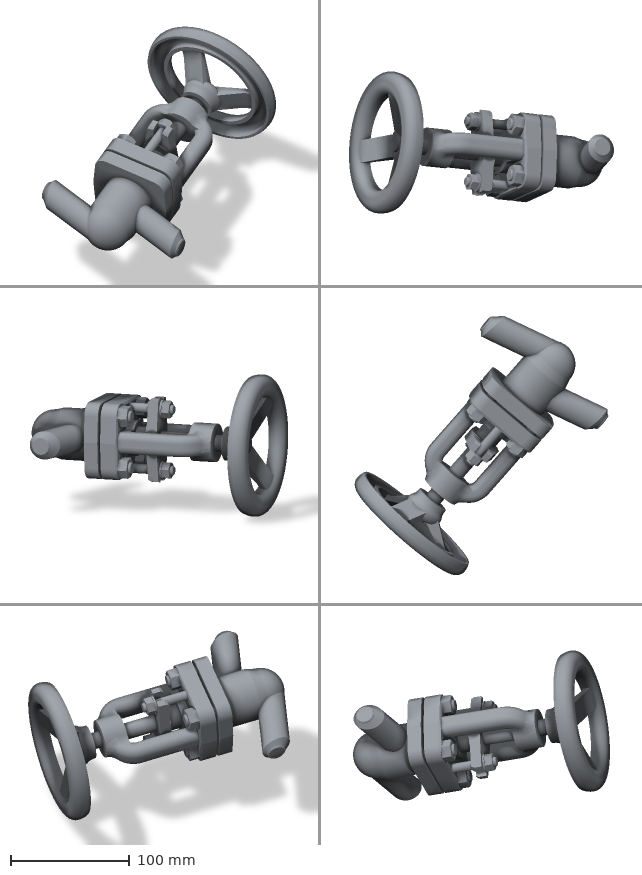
import cadquery as cq
import math


BODY_RADIUS = 22.0
DOME_RADIUS = 20.0
BODY_BOTTOM = -29.5
DOME_CENTRE = BODY_BOTTOM + DOME_RADIUS
TAPER_START = -2.0

PIPE_REACH = 65.0
PIPE_DIAMETER = 24.0
PIPE_TILT = 15.0
PIPE_LAND_RADIUS = 8.0
PIPE_LAND_LENGTH = 1.5
PIPE_EDGE_BREAK = 0.9

FLANGE_HALF_WIDTH = 35.0
FLANGE_CORNER_HALF_WIDTH = 32.5
FLANGE_HALF_HEIGHT = 32.5
FLANGE_CORNER_RADIUS = 10.8
BODY_FLANGE_BOTTOM = 28.0
BODY_FLANGE_TOP = 40.0
BONNET_FLANGE_BOTTOM = 42.5
BONNET_FLANGE_TOP = 57.4
FLANGE_CHAMFER_HEIGHT = 2.0
FLANGE_CHAMFER_WIDTH = 1.0
SPOT_FACE_RADIUS = 10.5
SPOT_FACE_DEPTH = 1.2

BOLT_SPACING = 44.0
BOLT_DIAMETER = 10.0
BOLT_PROJECTION = 2.0
FLANGE_NUT_ACROSS_FLATS = 16.0
FLANGE_NUT_HEIGHT = 8.4
FLANGE_NUTS = [(-1, 1, 3.0), (1, 1, 36.0), (-1, -1, 32.0), (1, -1, 36.0)]

NECK_RADIUS = 15.0
NECK_TOP = 64.6
NECK_FILLET = 4.5
GLAND_RADIUS = 10.1
GLAND_PLATE_BOTTOM = 76.4
GLAND_PLATE_TOP = 85.5
GLAND_PLATE_HALF_WIDTH = 15.0
GLAND_PLATE_TIP_HALF_WIDTH = 9.3
GLAND_PLATE_RADIUS = 36.0
GLAND_PLATE_CHAMFER_HEIGHT = 2.4
GLAND_PLATE_CHAMFER_WIDTH = 1.5
GLAND_PAD_RADIUS = 17.4
GLAND_PAD_HEIGHT = 0.7
GLAND_SLOT_WIDTH = 8.6

STUD_OFFSET = 26.0
STUD_DIAMETER = 8.0
STUD_PROJECTION = 2.5
GLAND_NUT_ACROSS_FLATS = 13.0
GLAND_NUT_HEIGHT = 6.7
WASHER_RADIUS = 7.8
WASHER_HEIGHT = 1.5
GLAND_NUTS = [(1, -17.0), (-1, 17.0)]

THREAD_CHAMFER = 0.6
NUT_CHAMFER_ANGLE = 30.0

ARM_OFFSET = 24.5
ARM_WIDTH = 15.0
ARM_DEPTH = 18.2
ARM_CORNER_RADIUS = 6.25
ARM_BEND_START = 108.4
ARM_BEND_RADIUS = 14.5
YOKE_HEAD_RADIUS = 16.25
YOKE_HEAD_BOTTOM = 114.2
YOKE_HEAD_TOP = 134.4
YOKE_FILLET = 11.0
TOLERANCE = 0.01

STEM_RADIUS = 7.0
HUB_BOTTOM = 143.0
HUB_COLLAR_TOP = 144.0
HUB_COLLAR_RADIUS = 14.3
HUB_SHOULDER = 151.2
HUB_TOP = 161.0
HUB_TOP_RADIUS = 10.0
HUB_DOME_RADIUS = 7.1
STEM_TOP = 163.2
WHEEL_RADIUS = 60.0
WHEEL_TOP = 179.0
RIM_BOTTOM = 164.0
RIM_ROUNDING = 7.5
RIM_LIP_RADIUS = 58.3
RIM_LIP_INNER_RADIUS = 56.0
RIM_FLOOR = 175.5
RIM_FLOOR_OUTER_RADIUS = 52.7
RIM_FLOOR_INNER_RADIUS = 47.5
RIM_INNER_LIP_RADIUS = 44.1
RIM_INNER_LIP = 166.3
RIM_BORE_RADIUS = 40.5
SPOKE_WIDTH = 19.4
SPOKE_COUNT = 3
SPOKE_SLOPE = 36.0
SPOKE_ROOT_RADIUS = 8.0
SPOKE_ROOT_TOP = 160.8
SPOKE_BEND_START = 31.0
SPOKE_BEND_LEVEL = 165.05
SPOKE_END_RADIUS = RIM_BORE_RADIUS + 1.5
SPOKE_END_TOP = 175.6


def cylinder(radius, bottom, top, x=0.0, z=0.0):
    """Cylinder along Y between two levels."""
    return cq.Workplane("XZ", origin=(x, top, z)).circle(radius).extrude(top - bottom)


def revolve_y(profile):
    """Turn a closed profile, drawn as radius and level, about the Y axis."""
    return profile.close().revolve(360, (0, 0, 0), (0, 1, 0))


def hex_nut(across_flats, bottom, height, x, z, turn):
    """Hexagon nut along Y with a chamfered upper end; turn is measured from +Z towards +X."""
    corner = across_flats / math.sqrt(3)
    points = []
    for i in range(6):
        angle = math.radians(turn + 60 * i)
        points.append((corner * math.sin(angle), corner * math.cos(angle)))
    top = bottom + height
    prism = cq.Workplane("XZ", origin=(x, top, z)).polyline(points).close().extrude(height)
    inner = across_flats / 2
    drop = (corner - inner) * math.tan(math.radians(NUT_CHAMFER_ANGLE))
    envelope = revolve_y(
        cq.Workplane("XY")
        .moveTo(0, bottom)
        .lineTo(corner, bottom)
        .lineTo(corner, top - drop)
        .lineTo(inner, top)
        .lineTo(0, top)
    ).translate((x, 0, z))
    return prism.intersect(envelope)


def threaded_end(diameter, bottom, top, x, z):
    """Stud along Y with a chamfered upper end."""
    return cylinder(diameter / 2, bottom, top, x, z).faces(">Y").chamfer(THREAD_CHAMFER)


def make_body():
    """Cylindrical housing that tapers into a half sphere."""
    return revolve_y(
        cq.Workplane("XY")
        .moveTo(0, BODY_FLANGE_BOTTOM)
        .lineTo(BODY_RADIUS, BODY_FLANGE_BOTTOM)
        .lineTo(BODY_RADIUS, TAPER_START)
        .lineTo(DOME_RADIUS, DOME_CENTRE)
        .radiusArc((0, BODY_BOTTOM), DOME_RADIUS)
    )


def make_pipe(side):
    """Tilted pipe stub whose end is turned about the X axis to a 45 degree weld bevel."""
    tilt = math.radians(PIPE_TILT)
    overrun = PIPE_DIAMETER
    length = PIPE_REACH / math.cos(tilt) + overrun
    inward = cq.Vector(-side * math.cos(tilt), side * math.sin(tilt), 0)
    start = cq.Vector(side * PIPE_REACH, 0, 0) - inward * overrun
    pipe = cq.Workplane(obj=cq.Solid.makeCylinder(PIPE_DIAMETER / 2, length, start, inward))
    land_start = PIPE_REACH - PIPE_LAND_LENGTH
    bevel_width = PIPE_DIAMETER
    bevel = (
        cq.Workplane("XY")
        .lineTo(side * PIPE_REACH, 0)
        .lineTo(side * PIPE_REACH, PIPE_LAND_RADIUS - PIPE_EDGE_BREAK)
        .lineTo(side * (PIPE_REACH - PIPE_EDGE_BREAK), PIPE_LAND_RADIUS)
        .lineTo(side * land_start, PIPE_LAND_RADIUS)
        .lineTo(side * (land_start - bevel_width), PIPE_LAND_RADIUS + bevel_width)
        .lineTo(0, PIPE_LAND_RADIUS + bevel_width)
        .close()
        .revolve(360, (0, 0, 0), (1, 0, 0))
    )
    return pipe.intersect(bevel)


def flange_plate(bottom, top):
    """Rounded plate whose two X sides rise to a shallow ridge at mid height."""
    right = [(FLANGE_CORNER_HALF_WIDTH, -FLANGE_HALF_HEIGHT), (FLANGE_HALF_WIDTH, 0),
             (FLANGE_CORNER_HALF_WIDTH, FLANGE_HALF_HEIGHT)]
    left = [(-x, -z) for x, z in right]
    plate = cq.Workplane("XZ", origin=(0, top, 0)).polyline(right + left).close()
    plate = plate.extrude(top - bottom)
    corners = plate.edges("|Y").filter(lambda edge: abs(edge.Center().z) > FLANGE_HALF_HEIGHT / 2)
    return corners.fillet(FLANGE_CORNER_RADIUS)


def make_bonnet_flange():
    """Upper flange with a bevelled upper rim and spot faces for the nuts."""
    flange = flange_plate(BONNET_FLANGE_BOTTOM, BONNET_FLANGE_TOP)
    flange = flange.faces(">Y").chamfer(FLANGE_CHAMFER_HEIGHT, FLANGE_CHAMFER_WIDTH)
    seat = BONNET_FLANGE_TOP - SPOT_FACE_DEPTH
    for x_side, z_side, _ in FLANGE_NUTS:
        x = x_side * BOLT_SPACING / 2
        z = z_side * BOLT_SPACING / 2
        flange = flange.cut(cylinder(SPOT_FACE_RADIUS, seat, BONNET_FLANGE_TOP, x, z))
    return flange


def make_flange_bolts():
    """Four studs through both flanges, each with a nut on its spot face."""
    seat = BONNET_FLANGE_TOP - SPOT_FACE_DEPTH
    bolt_top = seat + FLANGE_NUT_HEIGHT + BOLT_PROJECTION
    parts = []
    for x_side, z_side, turn in FLANGE_NUTS:
        x = x_side * BOLT_SPACING / 2
        z = z_side * BOLT_SPACING / 2
        parts.append(threaded_end(BOLT_DIAMETER, BODY_FLANGE_BOTTOM, bolt_top, x, z))
        parts.append(hex_nut(FLANGE_NUT_ACROSS_FLATS, seat, FLANGE_NUT_HEIGHT, x, z, turn))
    return parts


def make_neck():
    """Stuffing box neck joined to both yoke arms by filleted webs."""
    height = NECK_TOP - BONNET_FLANGE_BOTTOM
    web = cq.Workplane("XZ", origin=(0, NECK_TOP, 0)).rect(2 * ARM_OFFSET, ARM_DEPTH).extrude(height)
    neck = cylinder(NECK_RADIUS, BONNET_FLANGE_BOTTOM, NECK_TOP).union(web)
    inner_corners = cq.selectors.BoxSelector(
        (-NECK_RADIUS, BONNET_FLANGE_BOTTOM, -NECK_RADIUS), (NECK_RADIUS, NECK_TOP, NECK_RADIUS)
    )
    return neck.edges("|Y").edges(inner_corners).fillet(NECK_FILLET)


def make_gland_plate():
    """Clamp plate tapering to both ends, with a round pad below and open slots for the studs."""
    tip = (GLAND_PLATE_TIP_HALF_WIDTH, GLAND_PLATE_RADIUS)
    outline = [(GLAND_PLATE_HALF_WIDTH, 0), tip, (-tip[0], tip[1]),
               (-GLAND_PLATE_HALF_WIDTH, 0), (-tip[0], -tip[1]), (tip[0], -tip[1])]
    pad_bottom = GLAND_PLATE_BOTTOM - GLAND_PAD_HEIGHT
    blank = cq.Workplane("XZ", origin=(0, GLAND_PLATE_TOP, 0)).polyline(outline).close()
    blank = blank.extrude(GLAND_PLATE_TOP - pad_bottom)
    disc = cylinder(GLAND_PLATE_RADIUS, GLAND_PLATE_BOTTOM, GLAND_PLATE_TOP)
    disc = disc.faces("<Y").chamfer(GLAND_PLATE_CHAMFER_HEIGHT, GLAND_PLATE_CHAMFER_WIDTH)
    disc = disc.union(cylinder(GLAND_PAD_RADIUS, pad_bottom, GLAND_PLATE_TOP))
    plate = blank.intersect(disc)
    slot_length = GLAND_PLATE_RADIUS - STUD_OFFSET
    for z_side, _ in GLAND_NUTS:
        z = z_side * STUD_OFFSET
        plate = plate.cut(cylinder(GLAND_SLOT_WIDTH / 2, pad_bottom, GLAND_PLATE_TOP, 0, z))
        slot = cq.Workplane("XZ", origin=(0, GLAND_PLATE_TOP, z + z_side * slot_length / 2))
        slot = slot.rect(GLAND_SLOT_WIDTH, slot_length).extrude(GLAND_PLATE_TOP - pad_bottom)
        plate = plate.cut(slot)
    return plate


def make_gland_studs():
    """Two studs with washers and nuts that hold the gland plate."""
    nut_seat = GLAND_PLATE_TOP + WASHER_HEIGHT
    stud_top = nut_seat + GLAND_NUT_HEIGHT + STUD_PROJECTION
    parts = []
    for z_side, turn in GLAND_NUTS:
        z = z_side * STUD_OFFSET
        parts.append(threaded_end(STUD_DIAMETER, BONNET_FLANGE_BOTTOM, stud_top, 0, z))
        parts.append(cylinder(WASHER_RADIUS, GLAND_PLATE_TOP, nut_seat, 0, z))
        parts.append(hex_nut(GLAND_NUT_ACROSS_FLATS, nut_seat, GLAND_NUT_HEIGHT, 0, z, turn))
    return parts


def is_arm_joint(edge):
    """True for an edge where a yoke arm meets the wall of the yoke head."""
    middle = edge.positionAt(0.5)
    on_wall = abs(math.hypot(middle.x, middle.z) - YOKE_HEAD_RADIUS) < TOLERANCE
    between_ends = YOKE_HEAD_BOTTOM + TOLERANCE < middle.y < YOKE_HEAD_TOP
    is_wall_seam = edge.geomType() == "LINE" and abs(middle.z) < TOLERANCE
    return on_wall and between_ends and not is_wall_seam


def make_yoke():
    """Two arms of rounded rectangular section that bend into a cylindrical head."""
    foot = BONNET_FLANGE_BOTTOM
    bend_end = (ARM_OFFSET - ARM_BEND_RADIUS, ARM_BEND_START + ARM_BEND_RADIUS)
    path = (
        cq.Workplane("XY")
        .moveTo(ARM_OFFSET, foot)
        .lineTo(ARM_OFFSET, ARM_BEND_START)
        .radiusArc(bend_end, -ARM_BEND_RADIUS)
    )
    section = cq.Sketch().rect(ARM_WIDTH, ARM_DEPTH).vertices().fillet(ARM_CORNER_RADIUS)
    arm = cq.Workplane("XZ", origin=(ARM_OFFSET, foot, 0)).placeSketch(section).sweep(path)
    tall_top = YOKE_HEAD_TOP + YOKE_FILLET
    yoke = cylinder(YOKE_HEAD_RADIUS, YOKE_HEAD_BOTTOM, tall_top)
    yoke = yoke.union(arm).union(arm.mirror("YZ"))
    yoke = yoke.edges().filter(is_arm_joint).fillet(YOKE_FILLET)
    return yoke.cut(cylinder(2 * YOKE_HEAD_RADIUS, YOKE_HEAD_TOP, tall_top))


def make_wheel_hub():
    """Stem and the handwheel hub with a flared collar and a rounded shoulder."""
    dome_drop = HUB_TOP - HUB_DOME_RADIUS - HUB_SHOULDER
    shoulder_radius = HUB_TOP_RADIUS + math.sqrt(HUB_DOME_RADIUS**2 - dome_drop**2)
    flare_rise = HUB_SHOULDER - HUB_COLLAR_TOP
    flare_run = shoulder_radius - HUB_COLLAR_RADIUS
    flare_radius = (flare_rise**2 + flare_run**2) / (2 * flare_run)
    hub = revolve_y(
        cq.Workplane("XY")
        .moveTo(0, HUB_BOTTOM)
        .lineTo(HUB_COLLAR_RADIUS, HUB_BOTTOM)
        .lineTo(HUB_COLLAR_RADIUS, HUB_COLLAR_TOP)
        .radiusArc((shoulder_radius, HUB_SHOULDER), flare_radius)
        .radiusArc((HUB_TOP_RADIUS, HUB_TOP), -HUB_DOME_RADIUS)
        .lineTo(0, HUB_TOP)
    )
    return hub.union(cylinder(STEM_RADIUS, BODY_FLANGE_TOP, STEM_TOP))


def make_rim():
    """Hollow rim, open towards the valve body."""
    widest = WHEEL_TOP - RIM_ROUNDING
    lip_run = WHEEL_RADIUS - RIM_LIP_RADIUS
    lip_radius = (lip_run**2 + (widest - RIM_BOTTOM) ** 2) / (2 * lip_run)
    wall = RIM_LIP_INNER_RADIUS - RIM_FLOOR_OUTER_RADIUS
    inner_wall = RIM_FLOOR_INNER_RADIUS - RIM_INNER_LIP_RADIUS
    return revolve_y(
        cq.Workplane("XY")
        .moveTo(RIM_LIP_RADIUS, RIM_BOTTOM)
        .radiusArc((WHEEL_RADIUS, widest), -lip_radius)
        .radiusArc((WHEEL_RADIUS - RIM_ROUNDING, WHEEL_TOP), -RIM_ROUNDING)
        .lineTo(RIM_BORE_RADIUS + RIM_ROUNDING, WHEEL_TOP)
        .radiusArc((RIM_BORE_RADIUS, widest), -RIM_ROUNDING)
        .lineTo(RIM_BORE_RADIUS, RIM_INNER_LIP)
        .lineTo(RIM_INNER_LIP_RADIUS, RIM_INNER_LIP)
        .lineTo(RIM_INNER_LIP_RADIUS, RIM_FLOOR - inner_wall)
        .radiusArc((RIM_FLOOR_INNER_RADIUS, RIM_FLOOR), inner_wall)
        .lineTo(RIM_FLOOR_OUTER_RADIUS, RIM_FLOOR)
        .radiusArc((RIM_LIP_INNER_RADIUS, RIM_FLOOR - wall), wall)
        .lineTo(RIM_LIP_INNER_RADIUS, RIM_BOTTOM)
    )


def make_spokes():
    """Slanted flat spokes whose lower face levels out in an arc where it meets the rim."""
    slope = math.radians(SPOKE_SLOPE)
    root_level = SPOKE_BEND_LEVEL - (SPOKE_BEND_START - SPOKE_ROOT_RADIUS) * math.tan(slope)
    bend_radius = (SPOKE_END_RADIUS - SPOKE_BEND_START) / math.sin(slope)
    end_level = SPOKE_BEND_LEVEL + bend_radius * (1 - math.cos(slope))
    spoke = (
        cq.Workplane("XY", origin=(0, 0, -SPOKE_WIDTH / 2))
        .moveTo(SPOKE_ROOT_RADIUS, root_level)
        .lineTo(SPOKE_BEND_START, SPOKE_BEND_LEVEL)
        .radiusArc((SPOKE_END_RADIUS, end_level), bend_radius)
        .lineTo(SPOKE_END_RADIUS, SPOKE_END_TOP)
        .lineTo(SPOKE_ROOT_RADIUS, SPOKE_ROOT_TOP)
        .close()
        .extrude(SPOKE_WIDTH)
    )
    return [spoke.rotate((0, 0, 0), (0, 1, 0), 360 / SPOKE_COUNT * i) for i in range(SPOKE_COUNT)]


result = make_body()
parts = [
    make_pipe(-1),
    make_pipe(1),
    flange_plate(BODY_FLANGE_BOTTOM, BODY_FLANGE_TOP),
    cylinder(BODY_RADIUS, BODY_FLANGE_TOP, BONNET_FLANGE_BOTTOM),
    make_bonnet_flange(),
    make_neck(),
    cylinder(GLAND_RADIUS, NECK_TOP, GLAND_PLATE_BOTTOM),
    make_gland_plate(),
    make_yoke(),
    make_wheel_hub(),
    make_rim(),
]
parts += make_flange_bolts() + make_gland_studs() + make_spokes()
for part in parts:
    result = result.union(part)